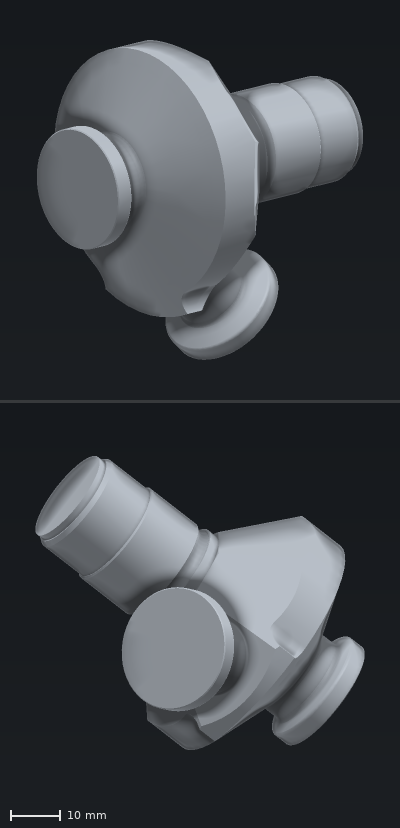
import cadquery as cq
import math

total_length = 69.0

flange_radius = 25.0 / 2
flange_rim = 3.65
flange_back_angle = 20.0
flange_edge_round = 0.7
flange_neck_round = 1.0
flange_face_chamfer = 0.2
front_neck_radius = 19.0 / 2
side_neck_radius = 15.0 / 2

body_radius = 51.95 / 2
body_rim_y = 17.05
front_cone_angle = 25.0
front_cone_round = 1.1
facet_count = 8
collar_radius = 24.0 / 2
body_back_y = 38.9

ear_waist = 23.9
ear_reach = 29.95
cone_margin = 0.7
ear_round = 4.0

spigot_overlap = 0.7
groove_start_y = 41.1
groove_end_y = 43.9
groove_start_radius = 11.4
groove_floor_radius = 10.75
large_radius = 23.0 / 2
large_end_y = 56.45
large_end_chamfer = 0.35
small_radius = 22.0 / 2
lead_in_start_y = 66.5
lead_in_end_y = 67.5
lead_in_radius = 10.35
tip_radius = 20.0 / 2

side_origin_y = 7.7
side_length = 46.65
side_tilt = 135.0
side_foot_round = 0.5


def revolve_y(profile):
    """Turn a closed (radius, y) outline around the Y axis."""
    return profile.close().revolve(360, (0, 0, 0), (0, 1, 0))


def clamp_port(neck_radius, length):
    """Flange with its face at y = 0 and a neck reaching to y = length."""
    back_rise = (flange_radius - neck_radius) * math.tan(math.radians(flange_back_angle))
    neck_y = flange_rim + back_rise
    port = revolve_y(
        cq.Workplane("XY")
        .polyline([
            (0, 0),
            (flange_radius, 0),
            (flange_radius, flange_rim),
            (neck_radius, neck_y),
            (neck_radius, length),
            (0, length),
        ])
    )
    port = port.edges(cq.selectors.RadiusNthSelector(0)).edges("<Y").fillet(flange_neck_round)
    rim_edges = cq.selectors.RadiusNthSelector(-1)
    port = port.edges(rim_edges).edges(">Y").fillet(flange_edge_round)
    return port.faces("<Y").edges().chamfer(flange_face_chamfer)


def body_outline():
    """Disc flowing through two concave arcs into the ear below it, as a prism along Y."""
    center_distance = body_radius + ear_round
    center_x = ear_waist / 2 + ear_round
    center_angle = math.asin(center_x / center_distance)
    waist_z = -center_distance * math.cos(center_angle)
    tip_cosine = (ear_reach**2 + center_distance**2 - ear_round**2) / (2 * ear_reach * center_distance)
    tip_angle = center_angle - math.acos(tip_cosine)
    join_x = body_radius * math.sin(center_angle)
    join_z = -body_radius * math.cos(center_angle)
    tip_x = ear_reach * math.sin(tip_angle)
    tip_z = -ear_reach * math.cos(tip_angle)
    return (
        cq.Workplane("XZ")
        .moveTo(join_x, join_z)
        .threePointArc((0, body_radius), (-join_x, join_z))
        .threePointArc((-ear_waist / 2, waist_z), (-tip_x, tip_z))
        .threePointArc((0, -ear_reach), (tip_x, tip_z))
        .threePointArc((ear_waist / 2, waist_z), (join_x, join_z))
        .close()
        .extrude(-body_back_y)
    )


def front_cone():
    """Cone that trims the front of the body, ending at the front neck radius."""
    slope = math.tan(math.radians(front_cone_angle))
    outer_radius = ear_reach + cone_margin
    outer_y = body_rim_y + (outer_radius - body_radius) * slope
    inner_y = body_rim_y - (body_radius - front_neck_radius) * slope
    return revolve_y(
        cq.Workplane("XY").polyline([
            (0, inner_y),
            (front_neck_radius, inner_y),
            (outer_radius, outer_y),
            (outer_radius, body_back_y),
            (0, body_back_y),
        ])
    )


def facet_pyramid():
    """Eight 45 degree facets that narrow to the collar at the back."""
    corner_factor = 1 / math.cos(math.pi / facet_count)
    base_apothem = collar_radius + body_back_y
    return (
        cq.Workplane("XZ", origin=(0, body_back_y, 0))
        .polygon(facet_count, 2 * collar_radius * corner_factor)
        .workplane(offset=body_back_y)
        .polygon(facet_count, 2 * base_apothem * corner_factor)
        .loft(ruled=True)
        .rotate((0, 0, 0), (0, 1, 0), 180 / facet_count)
    )


def rear_spigot():
    """Collar, round groove and stepped cylinders behind the body."""
    groove_middle_y = (groove_start_y + groove_end_y) / 2
    start_y = body_back_y - spigot_overlap
    return revolve_y(
        cq.Workplane("XY")
        .moveTo(0, start_y)
        .lineTo(collar_radius, start_y)
        .lineTo(collar_radius, groove_start_y)
        .lineTo(groove_start_radius, groove_start_y)
        .threePointArc((groove_floor_radius, groove_middle_y), (large_radius, groove_end_y))
        .lineTo(large_radius, large_end_y - large_end_chamfer)
        .lineTo(large_radius - large_end_chamfer, large_end_y)
        .lineTo(small_radius, large_end_y)
        .lineTo(small_radius, lead_in_start_y)
        .lineTo(lead_in_radius, lead_in_end_y)
        .lineTo(tip_radius, lead_in_end_y)
        .lineTo(tip_radius, total_length)
        .lineTo(0, total_length)
    )


def side_port():
    """Side port with a flared foot where it leaves the facet."""
    facet_distance = (collar_radius + body_back_y - side_origin_y) / math.sqrt(2)
    foot_y = side_length - facet_distance
    port = clamp_port(side_neck_radius, foot_y + side_neck_radius)
    arc_inset = side_foot_round * (1 - math.sqrt(0.5))
    foot = revolve_y(
        cq.Workplane("XY")
        .moveTo(0, foot_y - side_foot_round)
        .lineTo(side_neck_radius, foot_y - side_foot_round)
        .threePointArc(
            (side_neck_radius + arc_inset, foot_y - arc_inset),
            (side_neck_radius + side_foot_round, foot_y),
        )
        .lineTo(0, foot_y)
    )
    return (
        port.union(foot)
        .translate((0, -side_length, 0))
        .rotate((0, 0, 0), (1, 0, 0), side_tilt)
        .translate((0, side_origin_y, 0))
    )


body = body_outline().intersect(front_cone()).intersect(facet_pyramid())
front_port = clamp_port(front_neck_radius, body_rim_y)
result = body.union(front_port)

cone_foot_y = body_rim_y - (body_radius - front_neck_radius) * math.tan(math.radians(front_cone_angle))
cone_foot = cq.selectors.NearestToPointSelector((0, cone_foot_y, 0))
result = result.edges("%CIRCLE").edges(cone_foot).fillet(front_cone_round)

result = result.union(rear_spigot()).union(side_port())